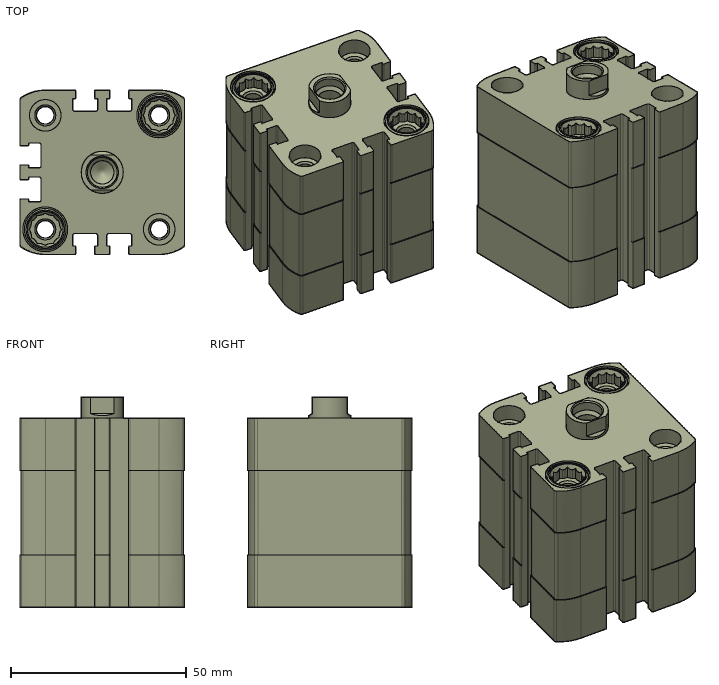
import cadquery as cq
import math

HOUSING_WIDTH = 47.0
HOUSING_HEIGHT = 54.05
CAP_HEIGHT = 15.0
BARREL_INSET = 0.25
CORNER_ARC_RADIUS = 12.25
CAP_CORNER_FILLET = 0.9
BARREL_CORNER_FILLET = 1.2

SLOT_OFFSET = 4.85
SLOT_OPENING = 5.4
SLOT_WIDTH = 7.0
SLOT_DEPTH = 6.0
SLOT_LIP = 2.5
SLOT_EDGE_RADIUS = 0.3
SLOT_FLOOR_RADIUS = 0.5
SLOT_SIDES = (0, 90, 180)

HOLE_OFFSET = 16.25
HOLE_DIAMETER = 4.9
HOLE_MOUTH_DIAMETER = 6.0
COUNTERBORE_DIAMETER = 9.0
COUNTERBORE_DEPTH = 5.0

RECESS_DIAMETER = 12.8
RING_DIAMETER = 11.9
RING_TOP_DIAMETER = 10.9
RING_DROP = 0.1
SOCKET_MOUTH_DIAMETER = 10.2
SOCKET_MOUTH_DEPTH = 1.3
SOCKET_DIAMETER = 8.5
SOCKET_DEPTH = 4.55
NOTCH_TIP_DIAMETER = 9.2
NOTCH_COUNT = 12
TOOTH_LAND = 0.8

ROD_DIAMETER = 12.0
ROD_TOP = 60.0
ROD_SEAT_DEPTH = 15.0
ROD_FLAT_WIDTH = 10.0
ROD_FLAT_LENGTH = 4.7
ROD_FLAT_RUNOUT_ANGLE = 30.0
ROD_MOUTH_DIAMETER = 9.25
ROD_BORE_DIAMETER = 8.5
ROD_BORE_DEPTH = 3.1
ROD_DRILL_DIAMETER = 6.65
ROD_DRILL_DEPTH = 12.0
DRILL_POINT_ANGLE = 118.0

HALF_WIDTH = HOUSING_WIDTH / 2


def cylinder(diameter, bottom, top):
    return cq.Workplane("XY").workplane(offset=bottom).circle(diameter / 2).extrude(top - bottom)


def cone(bottom_diameter, top_diameter, bottom, top):
    height = top - bottom
    return cq.Workplane(
        cq.Solid.makeCone(bottom_diameter / 2, top_diameter / 2, height, pnt=cq.Vector(0, 0, bottom))
    )


def slot_cutter(face, bottom, height):
    """T-slot opening through the +Y side, whose face lies at y = face."""
    half_opening = SLOT_OPENING / 2
    half_width = SLOT_WIDTH / 2
    lip = HALF_WIDTH - SLOT_LIP
    floor = HALF_WIDTH - SLOT_DEPTH
    edge = SLOT_EDGE_RADIUS
    corner = SLOT_FLOOR_RADIUS
    edge_mid = edge * (1 - math.sqrt(0.5))
    corner_mid = corner * (1 - math.sqrt(0.5))
    return (
        cq.Workplane("XY")
        .workplane(offset=bottom)
        .moveTo(0, face)
        .lineTo(half_opening + edge, face)
        .threePointArc((half_opening + edge_mid, face - edge_mid), (half_opening, face - edge))
        .lineTo(half_opening, lip + edge)
        .threePointArc((half_opening + edge_mid, lip + edge_mid), (half_opening + edge, lip))
        .lineTo(half_width, lip)
        .lineTo(half_width, floor + corner)
        .threePointArc((half_width - corner_mid, floor + corner_mid), (half_width - corner, floor))
        .lineTo(0, floor)
        .mirrorY()
        .extrude(height)
    )


def housing_section(inset, corner_fillet, bottom, height):
    """One length of the slotted profile, its faces moved in by inset."""
    face = HALF_WIDTH - inset
    arc_run = face - HOLE_OFFSET
    arc_drop = CORNER_ARC_RADIUS - math.sqrt(CORNER_ARC_RADIUS**2 - arc_run**2)
    mid_run = arc_run / 2
    mid_drop = CORNER_ARC_RADIUS - math.sqrt(CORNER_ARC_RADIUS**2 - mid_run**2)
    arc_middle = (HOLE_OFFSET + mid_run, face - mid_drop)
    arc_end = (face, face - arc_drop)

    section = (
        cq.Workplane("XY")
        .workplane(offset=bottom)
        .moveTo(-HOLE_OFFSET, face)
        .lineTo(HOLE_OFFSET, face)
        .threePointArc(arc_middle, arc_end)
        .lineTo(face, -arc_end[1])
        .threePointArc((arc_middle[0], -arc_middle[1]), (HOLE_OFFSET, -face))
        .lineTo(-HOLE_OFFSET, -face)
        .threePointArc((-arc_middle[0], -arc_middle[1]), (-face, -arc_end[1]))
        .lineTo(-face, arc_end[1])
        .threePointArc((-arc_middle[0], arc_middle[1]), (-HOLE_OFFSET, face))
        .close()
        .extrude(height)
    )
    section = section.edges("|Z and (>X or <X)").fillet(corner_fillet)

    slot = slot_cutter(face, bottom, height)
    for angle in SLOT_SIDES:
        for offset in (-SLOT_OFFSET, SLOT_OFFSET):
            placed = slot.translate((offset, 0, 0)).rotate((0, 0, 0), (0, 0, 1), angle)
            section = section.cut(placed)
    return section


def through_hole_cutter(floor):
    """Through hole with a 45 degree mouth chamfer at the floor level."""
    chamfer = (HOLE_MOUTH_DIAMETER - HOLE_DIAMETER) / 2
    mouth = cone(HOLE_DIAMETER, HOLE_MOUTH_DIAMETER, floor - chamfer, floor)
    return cylinder(HOLE_DIAMETER, 0, floor).union(mouth)


def counterbored_hole_cutter():
    floor = HOUSING_HEIGHT - COUNTERBORE_DEPTH
    counterbore = cylinder(COUNTERBORE_DIAMETER, floor, HOUSING_HEIGHT)
    return through_hole_cutter(floor).union(counterbore)


def socket_prism(bottom, top):
    """Twelve V-notches around a polygon of flat tooth lands."""
    land_radius = SOCKET_DIAMETER / 2
    tip_radius = NOTCH_TIP_DIAMETER / 2
    pitch = 2 * math.pi / NOTCH_COUNT
    land_half_angle = math.asin(TOOTH_LAND / 2 / land_radius)
    points = []
    for i in range(NOTCH_COUNT):
        tip = i * pitch
        land = tip + pitch / 2
        points.append((tip_radius * math.cos(tip), tip_radius * math.sin(tip)))
        for angle in (land - land_half_angle, land + land_half_angle):
            points.append((land_radius * math.cos(angle), land_radius * math.sin(angle)))
    return cq.Workplane("XY").workplane(offset=bottom).polyline(points).close().extrude(top - bottom)


def socket_hole_cutter():
    """Recess leaving a chamfered ring, with a twelve-point socket inside it."""
    ring_top = HOUSING_HEIGHT - RING_DROP
    groove_floor = ring_top - (RING_DIAMETER - RING_TOP_DIAMETER) / 2
    mouth_bottom = ring_top - SOCKET_MOUTH_DEPTH
    floor = HOUSING_HEIGHT - SOCKET_DEPTH

    ring = cone(RING_DIAMETER, RING_TOP_DIAMETER, groove_floor, ring_top)
    recess = cylinder(RECESS_DIAMETER, groove_floor, HOUSING_HEIGHT).cut(ring)
    mouth = cone(SOCKET_DIAMETER, SOCKET_MOUTH_DIAMETER, mouth_bottom, ring_top)
    socket = socket_prism(floor, ring_top)
    return recess.union(mouth).union(socket).union(through_hole_cutter(floor))


def make_housing():
    barrel_height = HOUSING_HEIGHT - 2 * CAP_HEIGHT
    body = housing_section(BARREL_INSET, BARREL_CORNER_FILLET, CAP_HEIGHT, barrel_height)
    for bottom in (0, HOUSING_HEIGHT - CAP_HEIGHT):
        body = body.union(housing_section(0, CAP_CORNER_FILLET, bottom, CAP_HEIGHT))

    plain_hole = counterbored_hole_cutter()
    socket_hole = socket_hole_cutter()
    for side in (-1, 1):
        offset = side * HOLE_OFFSET
        body = body.cut(plain_hole.translate((offset, -offset, 0)))
        body = body.cut(socket_hole.translate((offset, offset, 0)))

    rod_seat = cylinder(ROD_DIAMETER, HOUSING_HEIGHT - ROD_SEAT_DEPTH, HOUSING_HEIGHT)
    return body.cut(rod_seat)


def rod_flat_cutter():
    """Wrench flat on the +Y side, running out along a sloped shoulder."""
    flat = ROD_FLAT_WIDTH / 2
    outside = ROD_DIAMETER / 2
    flat_bottom = ROD_TOP - ROD_FLAT_LENGTH
    runout = (outside - flat) * math.tan(math.radians(ROD_FLAT_RUNOUT_ANGLE))
    return (
        cq.Workplane("YZ")
        .polyline([
            (flat, ROD_TOP),
            (flat, flat_bottom),
            (outside, flat_bottom - runout),
            (outside, ROD_TOP),
        ])
        .close()
        .extrude(ROD_DIAMETER / 2, both=True)
    )


def rod_bore_cutter():
    """Stepped bore: chamfered mouth, wide bore, 45 degree shoulder, drilled hole with a conical end."""
    mouth_depth = (ROD_MOUTH_DIAMETER - ROD_BORE_DIAMETER) / 2
    shoulder_depth = (ROD_BORE_DIAMETER - ROD_DRILL_DIAMETER) / 2
    bore_floor = ROD_TOP - ROD_BORE_DEPTH
    drill_floor = ROD_TOP - ROD_DRILL_DEPTH
    point_depth = ROD_DRILL_DIAMETER / 2 / math.tan(math.radians(DRILL_POINT_ANGLE / 2))

    bore = cylinder(ROD_BORE_DIAMETER, bore_floor, ROD_TOP)
    mouth = cone(ROD_BORE_DIAMETER, ROD_MOUTH_DIAMETER, ROD_TOP - mouth_depth, ROD_TOP)
    shoulder = cone(ROD_DRILL_DIAMETER, ROD_BORE_DIAMETER, bore_floor - shoulder_depth, bore_floor)
    drill = cylinder(ROD_DRILL_DIAMETER, drill_floor, bore_floor)
    point = cone(0, ROD_DRILL_DIAMETER, drill_floor - point_depth, drill_floor)
    return bore.union(mouth).union(shoulder).union(drill).union(point)


def make_piston_rod():
    rod = cylinder(ROD_DIAMETER, HOUSING_HEIGHT - ROD_SEAT_DEPTH, ROD_TOP)
    flat = rod_flat_cutter()
    rod = rod.cut(flat).cut(flat.mirror("XZ"))
    return rod.cut(rod_bore_cutter())


housing = make_housing()
piston_rod = make_piston_rod()

result = cq.Compound.makeCompound([housing.val(), piston_rod.val()])